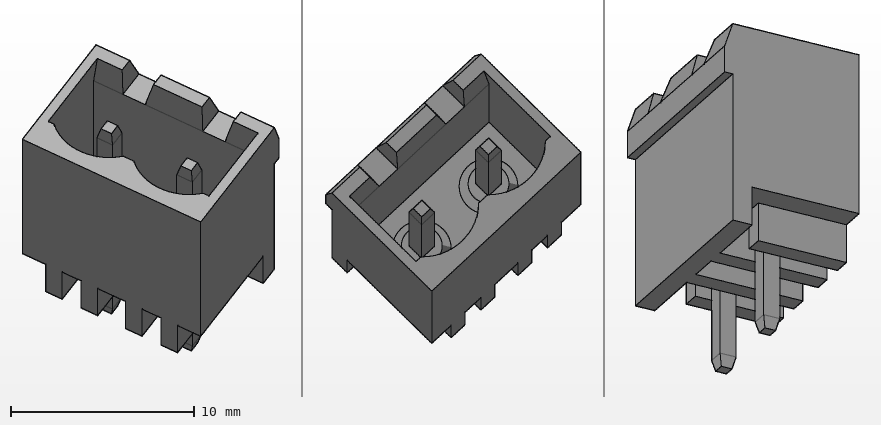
import cadquery as cq


width = 11.35
depth = 8.3
top_z = 16.6
housing_bottom = 4.48
foot_height = 2.32
base_z = housing_bottom + foot_height

ledge_overhang = 0.5
ledge_height = 3.1
bevel_height = 1.5
back_y = depth - ledge_overhang

pitch = 5.08
pin_y = 4.0
pin_size = 1.0
pin_tip_size = 0.66
pin_tip_length = 0.7
pin_top = 15.44
pin_positions = [-pitch / 2, pitch / 2]

side_wall = 0.56
front_wall = 1.81
floor_z = 7.97
cavity_back = 6.6
cavity_mouth_back = 7.0
scallop_floor_radius = 2.9
scallop_top_radius = 3.1

collar_base_diameter = 3.2
collar_top_diameter = 2.22
collar_height = (collar_base_diameter - collar_top_diameter) / 2

notch_top_width = 2.0
notch_floor_width = 1.41

outer_rib_length = 5.45
rib_width = 1.06
rib_gap = 1.2


def box(x_min, x_max, y_min, y_max, z_min, z_max):
    """Block between the given limits."""
    size = (x_max - x_min, y_max - y_min, z_max - z_min)
    return cq.Workplane("XY").box(*size, centered=False).translate((x_min, y_min, z_min))


def cone(x, bottom_radius, top_radius, z, height):
    """Upright truncated cone on a pin axis."""
    return cq.Workplane(cq.Solid.makeCone(bottom_radius, top_radius, height, pnt=cq.Vector(x, pin_y, z)))


def side_prism(points, prism_width):
    """Prism from a (Y, Z) outline, centred on X = 0."""
    return cq.Workplane("YZ").polyline(points).close().extrude(prism_width / 2, both=True)


def housing_block():
    """Solid housing with the bevelled latching ledge at its back."""
    outline = [
        (0, base_z),
        (back_y, base_z),
        (back_y, top_z - ledge_height),
        (depth, top_z - ledge_height),
        (depth, top_z - bevel_height),
        (back_y, top_z),
        (0, top_z),
    ]
    return side_prism(outline, width)


def cavity():
    """Open pocket: sloped lead-in at the back, a tapered scallop in front of each pin."""
    outline = [
        (front_wall, floor_z),
        (cavity_back, floor_z),
        (cavity_back, top_z - bevel_height),
        (cavity_mouth_back, top_z),
        (front_wall, top_z),
    ]
    pocket = side_prism(outline, width - 2 * side_wall)
    for x in pin_positions:
        scallop = cone(x, scallop_floor_radius, scallop_top_radius, floor_z, top_z - floor_z)
        front_part = box(x - pitch / 2, x + pitch / 2, 0, pin_y, floor_z, top_z)
        pocket = pocket.union(scallop.intersect(front_part))
    return pocket


def notch(x):
    """Flared notch through the back wall, behind one pin."""
    return (
        cq.Workplane("XZ", origin=(x, depth, top_z))
        .polyline([
            (-notch_top_width / 2, 0),
            (notch_top_width / 2, 0),
            (notch_floor_width / 2, -bevel_height),
            (-notch_floor_width / 2, -bevel_height),
        ])
        .close()
        .extrude(depth - cavity_back)
    )


def feet():
    """Back foot continuing the back wall, and a pair of ribs straddling each pin.

    The outermost ribs stop short of the back foot; the inner ribs join it.
    """
    body = box(-width / 2, width / 2, cavity_back, back_y, housing_bottom, base_z)
    rib_offset = (rib_gap + rib_width) / 2
    for x in pin_positions:
        for rib_x in (x - rib_offset, x + rib_offset):
            is_outermost = abs(rib_x) > pitch / 2
            length = outer_rib_length if is_outermost else cavity_back
            rib = box(rib_x - rib_width / 2, rib_x + rib_width / 2, 0, length, housing_bottom, base_z)
            body = body.union(rib)
    return body


def collar(x):
    """Conical collar around one pin."""
    return cone(x, collar_base_diameter / 2, collar_top_diameter / 2, floor_z, collar_height)


def pin_tip(x, z, direction):
    """Tapered pin end, growing up (+1) or down (-1) from height z."""
    return (
        cq.Workplane("XY", origin=(x, pin_y, z))
        .rect(pin_size, pin_size)
        .workplane(offset=direction * pin_tip_length)
        .rect(pin_tip_size, pin_tip_size)
        .loft(ruled=True)
    )


def pin(x):
    """Square pin with both ends tapered."""
    half = pin_size / 2
    shank_top = pin_top - pin_tip_length
    shank = box(x - half, x + half, pin_y - half, pin_y + half, pin_tip_length, shank_top)
    return shank.union(pin_tip(x, shank_top, 1)).union(pin_tip(x, pin_tip_length, -1))


result = housing_block().cut(cavity()).union(feet())
for x in pin_positions:
    result = result.cut(notch(x)).union(collar(x)).union(pin(x))